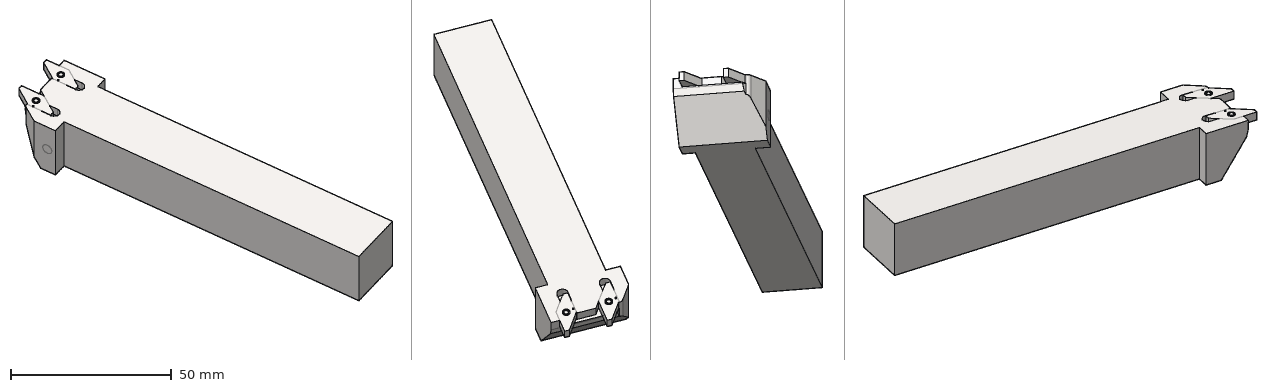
import cadquery as cq
import math


tool_length = 130.0
shank_size = 19.05
shank_back_y = -4.1
shank_front_y = shank_back_y - shank_size
top_z = shank_size

head_width = 28.0
head_end_x = 20.0
nose_x = 4.75
shoulder_x = 5.9
front_bevel_end_x = 12.0
flank_support = 0.3

lip_depth = 3.45
relief_knee_x = 5.3
relief_knee_depth = 5.85
relief_end_x = 14.5

insert_angle = 35.0
insert_length = 14.8
insert_tip_width = 1.55
insert_width = 6.05
insert_thickness = 3.0
first_insert_y = -2.85
insert_pitch = 14.0
insert_back_ys = [first_insert_y, first_insert_y - insert_pitch]

screw_groove_outer_radius = 1.2
screw_groove_inner_radius = 0.8
screw_groove_depth = 0.3
pinhole_radius = 0.25
pinhole_x = 8.05
pinhole_edge_gap = 0.45

slot_radius = 1.77
slot_end_x = 16.85
slot_length = 6.5
slot_overhang = 0.15

plug_radius = 1.7
plug_x = 16.95
plug_z = shank_size / 2
plug_depth = 5.0

slope = math.tan(math.radians(insert_angle))
seat_z = top_z - insert_thickness
insert_corner_x = (insert_width - insert_tip_width) / slope


def flank_y(x, back_y):
    """Y of an insert's slanted cutting flank at a given X."""
    return back_y - insert_tip_width - slope * x


def insert_prism(back_y):
    front_y = back_y - insert_width
    return (
        cq.Workplane("XY", origin=(0, 0, seat_z))
        .polyline([
            (0, back_y),
            (insert_length - insert_corner_x, back_y),
            (insert_length, front_y + insert_tip_width),
            (insert_length, front_y),
            (insert_corner_x, front_y),
            (0, back_y - insert_tip_width),
        ])
        .close()
        .extrude(insert_thickness)
    )


def make_head():
    """Head block; an arc tangent to the shoulder plane leads into the front bevel."""
    support_back_y = insert_back_ys[-1] - flank_support
    arc_start_y = flank_y(shoulder_x, support_back_y)
    corner_y = -head_width + slope * (front_bevel_end_x - shoulder_x)
    tangent_length = arc_start_y - corner_y
    bevel_angle = math.radians(insert_angle)
    arc_end = (
        shoulder_x + tangent_length * math.cos(bevel_angle),
        corner_y - tangent_length * math.sin(bevel_angle),
    )
    turn_angle = math.pi / 2 - bevel_angle
    arc_radius = tangent_length / math.tan(turn_angle / 2)
    return (
        cq.Workplane("XY")
        .moveTo(nose_x, 0)
        .lineTo(nose_x, flank_y(nose_x, support_back_y))
        .lineTo(shoulder_x, arc_start_y)
        .radiusArc(arc_end, -arc_radius)
        .lineTo(front_bevel_end_x, -head_width)
        .lineTo(head_end_x, -head_width)
        .lineTo(head_end_x, 0)
        .close()
        .extrude(top_z)
    )


def make_nose_relief():
    return (
        cq.Workplane("XZ")
        .polyline([
            (0, 0),
            (relief_end_x, 0),
            (relief_knee_x, top_z - relief_knee_depth),
            (nose_x, top_z - lip_depth),
            (0, top_z - lip_depth),
        ])
        .close()
        .extrude(head_width)
    )


def make_shank():
    return cq.Workplane("XY").box(
        tool_length - head_end_x, shank_size, shank_size, centered=False
    ).translate((head_end_x, shank_front_y, 0))


def make_nose_step():
    """Open area at seat level between the two inserts."""
    start_y = first_insert_y - insert_width
    back_y = insert_back_ys[-1]
    support_end_y = flank_y(shoulder_x, back_y - flank_support)
    back_corner_x = insert_length - insert_corner_x
    wall_y = back_y + slope * (back_corner_x - shoulder_x)
    return (
        cq.Workplane("XY", origin=(0, 0, seat_z))
        .polyline([
            (0, start_y),
            (shoulder_x, start_y),
            (shoulder_x, wall_y),
            (back_corner_x, back_y),
            (shoulder_x, back_y),
            (shoulder_x, support_end_y),
            (0, support_end_y),
        ])
        .close()
        .extrude(insert_thickness)
    )


def make_near_tip_step():
    """Open area ahead of the first insert's flank."""
    back_y = first_insert_y
    front_y = back_y - insert_width
    return (
        cq.Workplane("XY", origin=(0, 0, seat_z))
        .polyline([
            (0, flank_y(0, back_y)),
            (insert_corner_x, front_y),
            (0, front_y),
        ])
        .close()
        .extrude(insert_thickness)
    )


def make_slot(back_y):
    return (
        cq.Workplane("XY", origin=(0, 0, seat_z))
        .center(slot_end_x - slot_length / 2, back_y - insert_width - slot_overhang + slot_radius)
        .slot2D(slot_length, 2 * slot_radius)
        .extrude(insert_thickness)
    )


def make_insert(back_y):
    insert = insert_prism(back_y)
    groove = (
        cq.Workplane("XY", origin=(insert_length / 2, back_y - insert_width / 2, top_z))
        .circle(screw_groove_outer_radius)
        .circle(screw_groove_inner_radius)
        .extrude(-screw_groove_depth)
    )
    pinhole = (
        cq.Workplane("XY", origin=(pinhole_x, back_y - insert_width + pinhole_edge_gap, top_z))
        .circle(pinhole_radius)
        .extrude(-screw_groove_depth)
    )
    return insert.cut(groove).cut(pinhole)


def make_plug():
    return (
        cq.Workplane("XZ", origin=(plug_x, -head_width, plug_z))
        .circle(plug_radius)
        .extrude(-plug_depth)
    )


body = make_head().cut(make_nose_relief()).union(make_shank())
body = body.cut(make_nose_step()).cut(make_near_tip_step())
for y in insert_back_ys:
    body = body.cut(make_slot(y)).cut(insert_prism(y))

result = body.cut(make_plug()).union(make_plug(), clean=False)
for y in insert_back_ys:
    result = result.union(make_insert(y), clean=False)